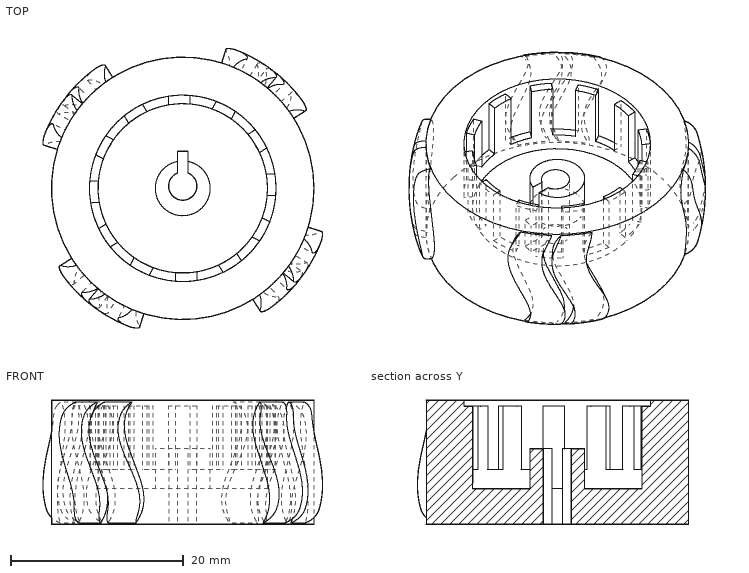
import cadquery as cq
import math

height = 14.4
drum_radius = 30.4 / 2
bore_radius = 21.6 / 2
step_radius = 19.6 / 2
step_height = 6.35
floor_height = 4.15

rib_count = 12
rib_width = 2.5
rib_top = 13.7
rib_first_angle = 2.3

hub_radius = 3.18
hub_top = 8.8
shaft_radius = 1.62
shaft_offset_y = 0.25
key_width = 1.17
key_reach = 4.28

pad_count = 4
pad_angle = 52.5
pad_span = 31.4
groove_span = 4.0
pad_end_gap = 0.2
crown_radius = 17.18
shoulder_radius = 16.6
shoulder_height = 1.78
shoulder_bulge = 0.2

crest_swing = 4.6
crest_height = 4.28
end_swing = 0.9

overlap = 0.65
side_inner_radius = drum_radius - overlap
side_outer_radius = crown_radius + overlap

mid_height = height / 2
half_pad_height = mid_height - pad_end_gap


def cylinder(radius, bottom, top):
    return cq.Workplane("XY").workplane(offset=bottom).circle(radius).extrude(top - bottom)


def polar_point(radius, angle, z):
    turn = math.radians(angle)
    return cq.Vector(radius * math.cos(turn), radius * math.sin(turn), z)


def s_edge(radius, angle):
    """S curve at one radius, running upward around the given angle."""
    stations = [
        (-half_pad_height, end_swing),
        (-crest_height, crest_swing),
        (0, 0),
        (crest_height, -crest_swing),
        (half_pad_height, -end_swing),
    ]
    points = [polar_point(radius, angle + swing, mid_height + rise) for rise, swing in stations]
    return cq.Edge.makeSpline(points)


def lug_outline(radius, start_angle, end_angle):
    start_edge = s_edge(radius, start_angle)
    end_edge = s_edge(radius, end_angle)
    bottom = cq.Edge.makeLine(start_edge.startPoint(), end_edge.startPoint())
    top = cq.Edge.makeLine(start_edge.endPoint(), end_edge.endPoint())
    return cq.Wire.assembleEdges([bottom, end_edge, top, start_edge])


def lug_block(start_angle, end_angle):
    """Block with radial S-shaped sides, taller than the crown."""
    inner = lug_outline(side_inner_radius, start_angle, end_angle)
    outer = lug_outline(side_outer_radius, start_angle, end_angle)
    return cq.Workplane(cq.Solid.makeLoft([inner, outer], True))


def crowned_ring():
    """Ring with a slightly crowned tread and rounded shoulders."""
    shoulder_rise = mid_height - shoulder_height
    bulge_radius = (drum_radius + shoulder_radius) / 2 + shoulder_bulge
    bulge_rise = (half_pad_height + shoulder_rise) / 2 + shoulder_bulge
    return (
        cq.Workplane("XZ", origin=(0, 0, mid_height))
        .moveTo(side_inner_radius, -half_pad_height)
        .lineTo(drum_radius, -half_pad_height)
        .threePointArc((bulge_radius, -bulge_rise), (shoulder_radius, -shoulder_rise))
        .threePointArc((crown_radius, 0), (shoulder_radius, shoulder_rise))
        .threePointArc((bulge_radius, bulge_rise), (drum_radius, half_pad_height))
        .lineTo(side_inner_radius, half_pad_height)
        .close()
        .revolve(360, (0, 0, 0), (0, 1, 0))
    )


def drum():
    """Drum with a stepped blind bore."""
    body = cylinder(drum_radius, 0, height)
    body = body.cut(cylinder(bore_radius, step_height, height))
    return body.cut(cylinder(step_radius, floor_height, height))


def bore_ribs():
    """Straight-sided ribs standing on the step, rooted in the bore wall."""
    rib_ring = cylinder(bore_radius + overlap, step_height, rib_top)
    rib_ring = rib_ring.cut(cylinder(step_radius, step_height, rib_top))
    bars = cq.Workplane("XY")
    for index in range(rib_count):
        angle = rib_first_angle + index * 360 / rib_count
        bar = (
            cq.Workplane("XY", origin=(0, 0, step_height))
            .center(drum_radius / 2, 0)
            .rect(drum_radius, rib_width)
            .extrude(rib_top - step_height)
            .rotate((0, 0, 0), (0, 0, 1), angle)
        )
        bars = bars.add(bar)
    return bars.combine().intersect(rib_ring)


def keyed_hole():
    """Through hole for the shaft, set off centre toward its keyway."""
    shaft = cylinder(shaft_radius, 0, height).translate((0, shaft_offset_y, 0))
    key = (
        cq.Workplane("XY")
        .center(0, key_reach / 2)
        .rect(key_width, key_reach)
        .extrude(height)
    )
    return shaft.union(key)


def tread_pads():
    ring = crowned_ring()
    half_pad = pad_span / 2
    half_groove = groove_span / 2
    pads = []
    for index in range(pad_count):
        centre = pad_angle + index * 360 / pad_count
        for start, end in [(-half_pad, -half_groove), (half_groove, half_pad)]:
            pads.append(ring.intersect(lug_block(centre + start, centre + end)))
    return pads


result = drum().union(bore_ribs()).union(cylinder(hub_radius, floor_height, hub_top))
for pad in tread_pads():
    result = result.union(pad, clean=False)
result = result.cut(keyed_hole(), clean=False)